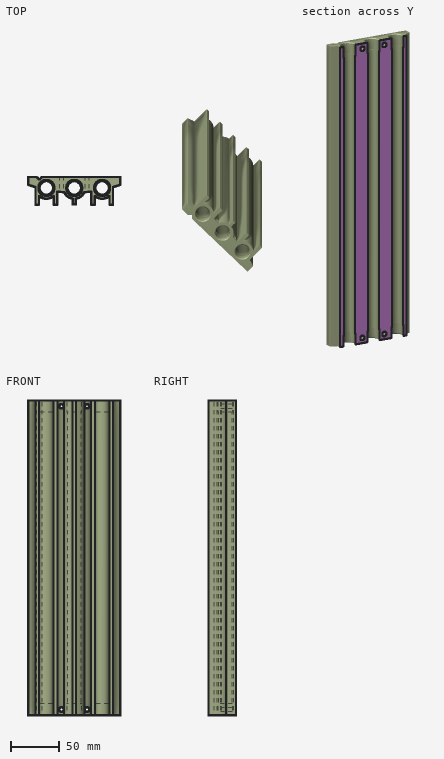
import cadquery as cq
import math

width = 95.6
depth = 29.0
length = 327.0
half_width = width / 2
back_y = depth / 2
front_y = -depth / 2

channel_pitch = 28.95
channel_diameter = 14.15
counterbore_diameter = 14.95
counterbore_depth = 12.0
mouth_diameter = 16.66
mouth_depth = (mouth_diameter - counterbore_diameter) / 2
channel_setback = 11.5
channel_y = back_y - channel_setback

wall_radius = 11.35

rib_thickness = 3.9
rib_tip_radius = 0.5
rib_offset = 11.5
rib_outer_x = channel_pitch + rib_offset
rib_inner_x = channel_pitch - rib_offset
middle_rib_thickness = 3.2
middle_rib_root_radius = 0.8
middle_rib_setback = 0.4
middle_rib_front_y = front_y + middle_rib_setback

bow_radius = 145.0
web_middle_thickness = 16.45
bow_center_y = back_y - web_middle_thickness + bow_radius
lip_corner_radius = 0.6

groove_x = -36.3
groove_depth = 2.8

hole_diameter = 4.5
hole_x = 13.25
hole_end_distance = 6.0


def wall_y(offset):
    """Y of a channel wall's outer surface at a sideways offset from the channel's axis."""
    return channel_y - math.sqrt(wall_radius**2 - offset**2)


def bow_y(x):
    """Y of the bowed front of the web and lips at x."""
    return bow_center_y - math.sqrt(bow_radius**2 - x**2)


def wall_meets_bow():
    """Point where the middle channel's wall runs into the bowed front of the web."""
    center_distance = bow_center_y - channel_y
    drop = (bow_radius**2 - wall_radius**2 - center_distance**2) / (2 * center_distance)
    return math.sqrt(wall_radius**2 - drop**2), channel_y - drop


def half_profile():
    """Extruded +X half of the section, without the channels and groove."""
    middle_rib_x = middle_rib_thickness / 2
    wall_end_x, wall_end_y = wall_meets_bow()
    wall_mid_x = (middle_rib_x + wall_end_x) / 2
    web_mid_x = (wall_end_x + rib_inner_x) / 2
    pocket_half_width = rib_offset - rib_thickness
    pocket_left_x = channel_pitch - pocket_half_width
    pocket_right_x = channel_pitch + pocket_half_width
    pocket_y = wall_y(pocket_half_width)
    lip_mid_x = (rib_outer_x + half_width) / 2

    bar = (
        cq.Workplane("XY")
        .moveTo(0, back_y)
        .lineTo(0, middle_rib_front_y)
        .lineTo(middle_rib_x, middle_rib_front_y)
        .lineTo(middle_rib_x, wall_y(middle_rib_x))
        .threePointArc((wall_mid_x, wall_y(wall_mid_x)), (wall_end_x, wall_end_y))
        .threePointArc((web_mid_x, bow_y(web_mid_x)), (rib_inner_x, bow_y(rib_inner_x)))
        .lineTo(rib_inner_x, front_y)
        .lineTo(pocket_left_x, front_y)
        .lineTo(pocket_left_x, pocket_y)
        .threePointArc((channel_pitch, wall_y(0)), (pocket_right_x, pocket_y))
        .lineTo(pocket_right_x, front_y)
        .lineTo(rib_outer_x, front_y)
        .lineTo(rib_outer_x, bow_y(rib_outer_x))
        .threePointArc((lip_mid_x, bow_y(lip_mid_x)), (half_width, bow_y(half_width)))
        .lineTo(half_width, back_y)
        .close()
        .extrude(length)
    )
    middle_rib_root = (middle_rib_x, wall_y(middle_rib_x), length / 2)
    bar = bar.edges(cq.selectors.NearestToPointSelector(middle_rib_root)).fillet(middle_rib_root_radius)
    bar = bar.faces("<Y").edges("|Z").fillet(rib_tip_radius)
    return bar.faces(">X").edges("|Z and <Y").fillet(lip_corner_radius)


def channel(x):
    """Round channel with a counterbore and a chamfered mouth at each end."""
    axis_point = cq.Vector(x, channel_y, 0)
    end_shape = cq.Workplane(
        cq.Solid.makeCylinder(counterbore_diameter / 2, counterbore_depth, axis_point)
    ).union(
        cq.Workplane(
            cq.Solid.makeCone(mouth_diameter / 2, counterbore_diameter / 2, mouth_depth, axis_point)
        )
    )
    far_end_shape = end_shape.mirror("XY", (0, 0, length / 2))
    bore = cq.Workplane(cq.Solid.makeCylinder(channel_diameter / 2, length, axis_point))
    return bore.union(end_shape).union(far_end_shape)


def groove():
    """V-groove along the whole back."""
    return (
        cq.Workplane("XY")
        .moveTo(groove_x - groove_depth, back_y)
        .lineTo(groove_x, back_y - groove_depth)
        .lineTo(groove_x + groove_depth, back_y)
        .close()
        .extrude(length)
    )


def mounting_hole(x, z):
    """Hole through the web along Y."""
    return cq.Workplane("XZ", origin=(x, back_y, z)).circle(hole_diameter / 2).extrude(depth)


half = half_profile()
body = half.union(half.mirror("YZ")).clean()

for channel_x in (-channel_pitch, 0, channel_pitch):
    body = body.cut(channel(channel_x))

body = body.cut(groove())

for x in (-hole_x, hole_x):
    for z in (hole_end_distance, length - hole_end_distance):
        body = body.cut(mounting_hole(x, z))

result = body